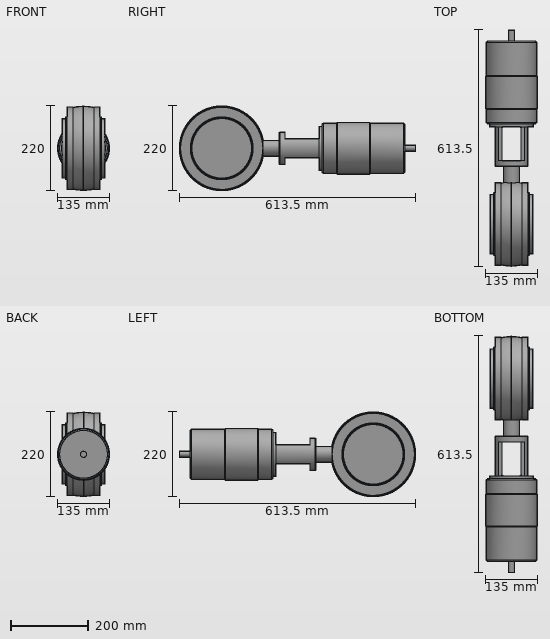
import cadquery as cq

overall_length = 613.5

wheel_diameter = 220.0
wheel_radius = wheel_diameter / 2
rim_radius = 107.5
rim_half_width = 42.5
crown_radius = 109.0
crown_half_width = 27.0
crown_edge_radius = 106.0
ridge_half_width = 0.5
step_radius = 81.5
step_half_width = 47.0
step_chamfer = 2.0
hub_radius = 77.0
hub_half_width = 55.0

shaft_end = overall_length - wheel_radius
shaft_length = 28.0
body_length = 215.5
plate_length = 7.5
yoke_length = 103.5
collar_length = 16.0
body_top = shaft_end - shaft_length
body_bottom = body_top - body_length
plate_bottom = body_bottom - plate_length
yoke_bottom = plate_bottom - yoke_length
collar_top = yoke_bottom + collar_length

shaft_radius = 8.0
body_radius = 65.5
body_chamfer = 3.5
band_radius = 67.5
band_length = 88.0
band_offset = 89.5
band_chamfer = 2.5
band_top = body_top - band_offset
band_bottom = band_top - band_length
plate_radius = 57.0

yoke_radius = 42.5
bore_radius = 35.0
leg_half_thickness = 25.0
collar_chamfer = 2.0
bore_chamfer = 2.0
neck_radius = 21.0


def cylinder_y(radius, bottom, top):
    """Cylinder on the Y axis between two Y positions."""
    return cq.Workplane("XZ", origin=(0, top, 0)).circle(radius).extrude(top - bottom)


def make_wheel():
    """Revolved wheel with stepped hubs, a crowned tread and a thin middle ridge."""
    profile = (
        cq.Workplane("XY")
        .moveTo(-hub_half_width, 0)
        .lineTo(-hub_half_width, hub_radius)
        .lineTo(-step_half_width, hub_radius)
        .lineTo(-step_half_width, step_radius - step_chamfer)
        .lineTo(-step_half_width + step_chamfer, step_radius)
        .lineTo(-rim_half_width, step_radius)
        .lineTo(-rim_half_width, rim_radius)
        .lineTo(-crown_half_width, rim_radius)
        .lineTo(-crown_half_width, crown_edge_radius)
        .threePointArc((0, crown_radius), (crown_half_width, crown_edge_radius))
        .lineTo(crown_half_width, rim_radius)
        .lineTo(rim_half_width, rim_radius)
        .lineTo(rim_half_width, step_radius)
        .lineTo(step_half_width - step_chamfer, step_radius)
        .lineTo(step_half_width, step_radius - step_chamfer)
        .lineTo(step_half_width, hub_radius)
        .lineTo(hub_half_width, hub_radius)
        .lineTo(hub_half_width, 0)
        .close()
    )
    wheel = profile.revolve(360, (0, 0, 0), (1, 0, 0))
    ridge = cq.Workplane("YZ").circle(wheel_radius).extrude(ridge_half_width, both=True)
    return wheel.union(ridge)


def make_motor():
    """Motor body with a raised band, an end shaft and a mounting plate."""
    body = cylinder_y(body_radius, body_bottom, body_top).edges().chamfer(body_chamfer)
    band_rise = band_radius - body_radius
    band = cylinder_y(band_radius, band_bottom, band_top).edges().chamfer(band_chamfer, band_rise)
    shaft = cylinder_y(shaft_radius, body_top, shaft_end)
    plate = cylinder_y(plate_radius, plate_bottom, body_bottom)
    return body.union(band).union(shaft).union(plate)


def make_yoke():
    """Two flat-sided legs, with a round bore between, standing on a round collar."""
    leg_length = plate_bottom - collar_top
    leg_middle = (plate_bottom + collar_top) / 2
    legs = cylinder_y(yoke_radius, collar_top, plate_bottom)
    slab = cq.Workplane("XY").box(2 * yoke_radius, leg_length, 2 * leg_half_thickness)
    bore = cylinder_y(bore_radius, collar_top, plate_bottom).faces(">Y").edges().chamfer(bore_chamfer)
    legs = legs.intersect(slab.translate((0, leg_middle, 0))).cut(bore)
    collar = cylinder_y(yoke_radius, yoke_bottom, collar_top).faces("<Y").edges().chamfer(collar_chamfer)
    return legs.union(collar)


neck = cylinder_y(neck_radius, 0, yoke_bottom)
result = make_wheel().union(neck).union(make_yoke()).union(make_motor())